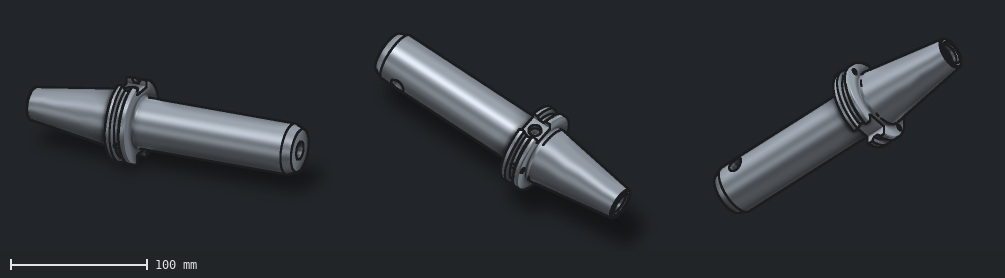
import cadquery as cq
import math

TOTAL_LENGTH = 214.2
FLANGE_START = 71.3
FLANGE_END = 87.5
GROOVE_CENTRE = 79.3

TAPER_RATIO = 7 / 24
TAPER_LARGE_DIA = 44.3
TAPER_LENGTH = 68.1
TAPER_TIP_CHAMFER = 0.9
NECK_DIA = 43.7
NECK_START = 70.0
NECK_FILLET = 0.6

FLANGE_DIA = 63.2
FLANGE_FILLET = 1.3
GROOVE_DEPTH = 3.5
GROOVE_BOTTOM_WIDTH = 3.5
GROOVE_HALF_ANGLE = math.radians(30)

NOSE_DIA = 38.1
NOSE_ROOT_FILLET = 2.5
NOSE_END_DIA = 32.1
NOSE_CONE_LENGTH = 7.0

BORE_DIA = 13.3
PULL_STUD_DIA = 16.5
PULL_STUD_DEPTH = 6.0
PULL_STUD_MOUTH_DIA = 18.2
PULL_STUD_CHAMFER = 2.0

SLOT_WIDTH = 16.0
UPPER_SLOT_FLOOR = 25.0
LOWER_SLOT_FLOOR = 22.7
SLOT_FILLET = 0.6

DIMPLE_DIA = 9.5
DIMPLE_DEPTH = 5.0
DRILL_POINT_ANGLE = math.radians(118)

COOLANT_DIA = 4.3
COOLANT_END = 77.1
RADIAL_DIA = 4.0
RADIAL_FLOOR = 24.6
DUCT_DIA = 3.2
DUCT_START_RADIUS = 26.1
DUCT_TILT = 45.0
COOLANT_PITCH_RADIUS = 26.8
COOLANT_ANGLE = 20.0

SCREW_HOLE_DIA = 11.4
SCREW_HOLE_X = 191.5


def make_body():
    """Revolve the outer profile about the X axis."""
    flange_radius = FLANGE_DIA / 2
    groove_floor = flange_radius - GROOVE_DEPTH
    half_bottom = GROOVE_BOTTOM_WIDTH / 2
    half_top = half_bottom + GROOVE_DEPTH * math.tan(GROOVE_HALF_ANGLE)
    nose_radius = NOSE_DIA / 2
    cone_slope = TAPER_RATIO / 2
    tip_radius = TAPER_LARGE_DIA / 2 - cone_slope * TAPER_LENGTH
    neck_radius = NECK_DIA / 2
    mid_arc = 1 - math.sqrt(0.5)
    nose_mid = NOSE_ROOT_FILLET * mid_arc
    neck_mid = NECK_FILLET * mid_arc
    rim_mid = FLANGE_FILLET * mid_arc
    profile = (
        cq.Workplane("XY")
        .moveTo(0, 0)
        .lineTo(0, tip_radius - TAPER_TIP_CHAMFER)
        .lineTo(TAPER_TIP_CHAMFER, tip_radius + cone_slope * TAPER_TIP_CHAMFER)
        .lineTo(TAPER_LENGTH, TAPER_LARGE_DIA / 2)
        .lineTo(NECK_START, neck_radius)
        .lineTo(FLANGE_START - NECK_FILLET, neck_radius)
        .threePointArc(
            (FLANGE_START - neck_mid, neck_radius + neck_mid),
            (FLANGE_START, neck_radius + NECK_FILLET),
        )
        .lineTo(FLANGE_START, flange_radius - FLANGE_FILLET)
        .threePointArc(
            (FLANGE_START + rim_mid, flange_radius - rim_mid),
            (FLANGE_START + FLANGE_FILLET, flange_radius),
        )
        .lineTo(GROOVE_CENTRE - half_top, flange_radius)
        .lineTo(GROOVE_CENTRE - half_bottom, groove_floor)
        .lineTo(GROOVE_CENTRE + half_bottom, groove_floor)
        .lineTo(GROOVE_CENTRE + half_top, flange_radius)
        .lineTo(FLANGE_END - FLANGE_FILLET, flange_radius)
        .threePointArc(
            (FLANGE_END - rim_mid, flange_radius - rim_mid),
            (FLANGE_END, flange_radius - FLANGE_FILLET),
        )
        .lineTo(FLANGE_END, nose_radius + NOSE_ROOT_FILLET)
        .threePointArc(
            (FLANGE_END + nose_mid, nose_radius + nose_mid),
            (FLANGE_END + NOSE_ROOT_FILLET, nose_radius),
        )
        .lineTo(TOTAL_LENGTH - NOSE_CONE_LENGTH, nose_radius)
        .lineTo(TOTAL_LENGTH, NOSE_END_DIA / 2)
        .lineTo(TOTAL_LENGTH, 0)
        .close()
    )
    return profile.revolve(360, (0, 0, 0), (1, 0, 0))


def make_bore():
    """Through bore with the chamfered pull stud counterbore, as a solid to cut away."""
    profile = (
        cq.Workplane("XY")
        .moveTo(0, 0)
        .lineTo(0, PULL_STUD_MOUTH_DIA / 2)
        .lineTo(PULL_STUD_CHAMFER, PULL_STUD_DIA / 2)
        .lineTo(PULL_STUD_DEPTH, PULL_STUD_DIA / 2)
        .lineTo(PULL_STUD_DEPTH, BORE_DIA / 2)
        .lineTo(TOTAL_LENGTH, BORE_DIA / 2)
        .lineTo(TOTAL_LENGTH, 0)
        .close()
    )
    return profile.revolve(360, (0, 0, 0), (1, 0, 0))


def make_slot(floor, side):
    """Block that clears a drive slot outwards from its floor; side is +1 (up) or -1 (down)."""
    height = FLANGE_DIA / 2
    block = cq.Workplane("XY").box(FLANGE_END - FLANGE_START, SLOT_WIDTH, height)
    floor_face = "<Z" if side > 0 else ">Z"
    block = block.faces(floor_face).edges("|X").fillet(SLOT_FILLET)
    return block.translate(((FLANGE_START + FLANGE_END) / 2, 0, side * (floor + height / 2)))


def make_dimple():
    """Blind hole with a drill point, going down from the upper slot floor."""
    radius = DIMPLE_DIA / 2
    point_height = radius / math.tan(DRILL_POINT_ANGLE / 2)
    profile = (
        cq.Workplane("XZ")
        .moveTo(0, UPPER_SLOT_FLOOR)
        .lineTo(radius, UPPER_SLOT_FLOOR)
        .lineTo(radius, UPPER_SLOT_FLOOR - DIMPLE_DEPTH)
        .lineTo(0, UPPER_SLOT_FLOOR - DIMPLE_DEPTH - point_height)
        .close()
    )
    return profile.revolve(360, (0, 0, 0), (0, 1, 0)).translate((GROOVE_CENTRE, 0, 0))


def make_coolant_holes():
    """Two opposite face holes, each joined to the V groove and by a slanted duct to the bore."""
    axial = (
        cq.Workplane("YZ", origin=(FLANGE_START, COOLANT_PITCH_RADIUS, 0))
        .circle(COOLANT_DIA / 2)
        .extrude(COOLANT_END - FLANGE_START)
    )
    radial = (
        cq.Workplane("XZ", origin=(GROOVE_CENTRE, RADIAL_FLOOR, 0))
        .circle(RADIAL_DIA / 2)
        .extrude(RADIAL_FLOOR - FLANGE_DIA / 2)
    )
    slope = math.radians(DUCT_TILT)
    duct_length = DUCT_START_RADIUS / math.sin(slope)
    duct = cq.Workplane(
        cq.Solid.makeCylinder(
            DUCT_DIA / 2,
            duct_length,
            cq.Vector(COOLANT_END, DUCT_START_RADIUS, 0),
            cq.Vector(math.cos(slope), -math.sin(slope), 0),
        )
    )
    first = axial.union(radial).union(duct).rotate((0, 0, 0), (1, 0, 0), COOLANT_ANGLE)
    return first.union(first.rotate((0, 0, 0), (1, 0, 0), 180))


def make_screw_hole():
    """Radial hole from the +Y side of the nose into the bore."""
    return (
        cq.Workplane("XZ", origin=(SCREW_HOLE_X, 0, 0))
        .circle(SCREW_HOLE_DIA / 2)
        .extrude(-NOSE_DIA / 2)
    )


result = (
    make_body()
    .cut(make_bore())
    .cut(make_slot(UPPER_SLOT_FLOOR, 1))
    .cut(make_slot(LOWER_SLOT_FLOOR, -1))
    .cut(make_dimple())
    .cut(make_coolant_holes())
    .cut(make_screw_hole())
)